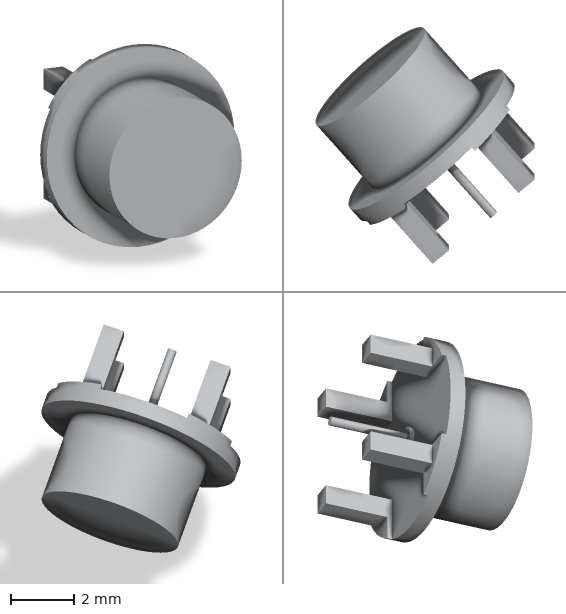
import cadquery as cq

flange_diameter = 6.48
flange_thickness = 0.505
barrel_diameter = 4.56
barrel_length = 2.715
pad_height = 0.155
leg_length = 2.105
leg_width = 0.675
leg_inner_offset = 1.445
collar_diameter = 0.71
pin_diameter = 0.29
pin_length = 2.59

flange_front = 0.0
pad_front = flange_front - pad_height
leg_tip = pad_front - leg_length
pin_tip = pad_front - pin_length
flange_back = flange_front + flange_thickness
barrel_end = flange_back + barrel_length


def cylinder_x(diameter, start, end):
    """Solid cylinder on the X axis between two stations."""
    return cq.Workplane("YZ", origin=(start, 0, 0)).circle(diameter / 2).extrude(end - start)


def corner_block(size, start, end, y_side, z_side):
    """Square block growing outward from the inner corner of one quadrant."""
    center = leg_inner_offset + size / 2
    return (
        cq.Workplane("YZ", origin=(start, 0, 0))
        .center(y_side * center, z_side * center)
        .rect(size, size)
        .extrude(end - start)
    )


result = cylinder_x(flange_diameter, flange_front, flange_back)
result = result.union(cylinder_x(barrel_diameter, flange_back, barrel_end))
result = result.union(cylinder_x(collar_diameter, pad_front, flange_front))
result = result.union(cylinder_x(pin_diameter, pin_tip, flange_front))

pad_disc = cylinder_x(flange_diameter, pad_front, flange_front)
pad_size = flange_diameter / 2 - leg_inner_offset
for y_side in (-1, 1):
    for z_side in (-1, 1):
        pad_block = corner_block(pad_size, pad_front, flange_front, y_side, z_side)
        result = result.union(pad_block.intersect(pad_disc))
        result = result.union(corner_block(leg_width, leg_tip, flange_front, y_side, z_side))